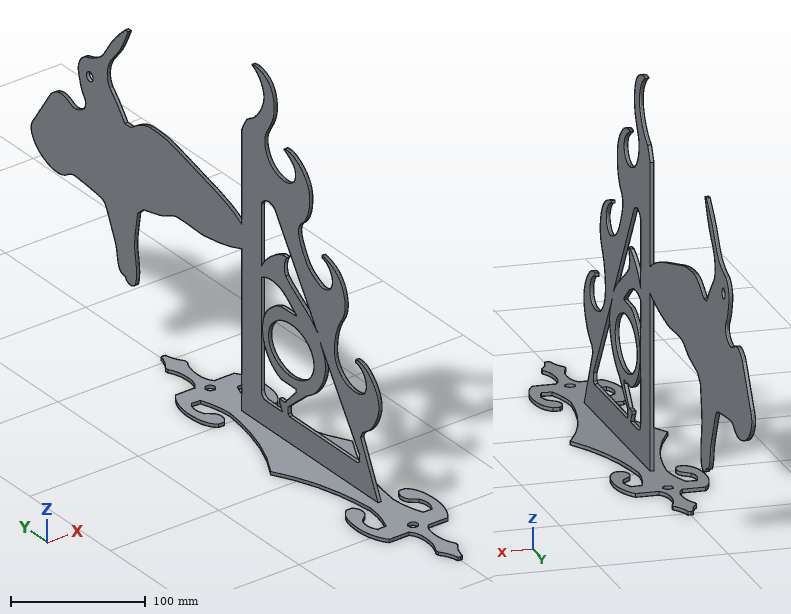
import cadquery as cq

sheet = 3.0
hole_diameter = 8.0
hole_radius = hole_diameter / 2

plate_half_width = 38.0
plate_half_length = 185.0
plate_hole_y = 126.0
shoulder_y = 133.0

overall_length = 532.0
bracket_top = 306.0
nose_y = overall_length - plate_half_length
post_back = 85.0
post_front = 60.5
rail_top = 25.5
foot_tip = -84.5
tail_top = 163.0
tail_bottom = 141.5
eye_center = (274.0, 201.0)

scroll_eye_center = (23.5, 83.0)
scroll_eye_half_length = 28.0
scroll_eye_half_height = 22.5


def closed_wire(workplane, runs):
    """Join runs of points end to end: two points make a line, three an arc, more a smooth curve."""
    sketch = workplane.moveTo(*runs[0][0])
    for run in runs:
        if len(run) == 2:
            sketch = sketch.lineTo(*run[1])
        elif len(run) == 3:
            sketch = sketch.threePointArc(run[1], run[2])
        else:
            sketch = sketch.spline(run[1:], includeCurrent=True)
    return sketch.close()


def upright(runs):
    """Sheet of the given (Y, Z) outline, centred on the plane X = 0."""
    return closed_wire(cq.Workplane("YZ"), runs).extrude(sheet / 2, both=True)




def plate_quarter():
    """Quarter of the plate on the +X, +Y side."""
    waist = (10.5, 87.0)
    runs = [
        [(0, 0), (plate_half_width, 0)],
        [(plate_half_width, 0), (27.0, 20.0), (20.0, 38.5), (14.5, 61.0), waist],
        [waist, (12.0, 100.0), (17.0, 115.5)],
        [(3.2, 21.7), (25.0, 116.0)],
        [(4.7, 21.8), (28.0, 106.5), (26.0, 98.5)],
        [(4.9, 18.5), (20.0, 93.5)],
        [(3.8, 17.6), (18.0, 86.0), (22.0, 79.5)],
        [(4.1, 14.9), (27.0, 79.5)],
        [(5.1, 14.9), (33.0, 87.0), (35.5, 100.0), (35.5, 110.5), (33.0, 122.5), (27.0, shoulder_y)],
        [(5.1, shoulder_y), (9.0, shoulder_y)],
        [(1.7, shoulder_y), (6.0, 138.0), (4.0, 148.0), (6.0, 159.5), (9.0, 166.5)],
        [(1.7, 31.3), (9.0, 169.5)],
        [(1.7, 31.9), (5.5, 175.0), (2.0, 184.5)],
        [(0.4, 34.7), (0, plate_half_length)],
    ]
    return closed_wire(cq.Workplane("XY"), runs).extrude(sheet)


def build_plate():
    quarter = plate_quarter()
    half = quarter.union(quarter.mirror("YZ"))
    plate = half.union(half.mirror("XZ"))
    hole_places = [(0, -plate_hole_y), (0, plate_hole_y)]
    holes = cq.Workplane("XY").pushPoints(hole_places).circle(hole_radius).extrude(sheet)
    return plate.cut(holes)




def fish_runs():
    """Outline of the fish, from the underside of its tail round to the upper side of the tail."""
    fin_root = (214.5, 111.5)
    crest_tip = (226.0, 262.0)
    return [
        [(post_back, tail_bottom), (96.0, 138.0), (117.0, 133.0), (135.5, 131.0), (149.0, 131.5), (163.0, 131.5)],
        [(30.6, 24.7), (172.5, 129.5), (181.0, 125.0), (191.5, 122.0), (207.5, 118.0)],
        [(39.0, 22.2), fin_root],
        [fin_root, (216.5, 98.5), (218.0, 81.0), (216.5, 69.0), (217.0, 49.5)],
        [(40.8, 9.3), (224.0, 46.5), (230.0, 50.5)],
        [(43.2, 9.5), (235.0, 51.5)],
        [(44.2, 9.7), (238.5, 57.0), (240.5, 68.0), (245.0, 80.0), (251.0, 93.5), (255.5, 101.5), (260.0, 104.5)],
        [(48.9, 19.6), (276.5, 106.5), (287.5, 107.5), (297.0, 107.0), (304.5, 102.5), (316.5, 100.5), (330.5, 104.5),
         (341.0, 111.5), (nose_y, 123.0), (343.5, 132.0)],
        [(64.6, 24.8), (323.0, 163.5)],
        [(60.7, 30.7), (317.0, 168.0), (308.5, 170.0), (300.5, 168.0), (293.5, 165.5), (286.0, 167.0), (280.5, 172.0),
         (279.5, 177.0), (282.5, 183.0), (287.5, 196.0), (288.5, 202.0), (287.0, 208.5), (279.0, 216.0)],
        [(52.4, 40.6), (269.0, 219.0), (258.0, 227.0), (251.0, 237.5), (239.5, 252.0), (230.0, 262.0)],
        [(43.2, 49.2), crest_tip],
        [crest_tip, (230.5, 252.0), (239.5, 237.5), (249.0, 225.0), (252.0, 214.5), (249.0, 203.0)],
        [(46.8, 38.2), (239.5, 193.0), (230.5, 181.5)],
        [(43.3, 34.1), (223.0, 181.5)],
        [(41.9, 34.1), (215.0, 187.0), (202.0, 192.0), (190.5, 192.5), (178.0, 191.5), (154.5, 185.5), (127.5, 179.0),
         (101.0, 171.0), (post_back, tail_top)],
    ]


def flame_runs():
    """Outline of the four flames, from the top of the post down to the foot."""
    post_top = (post_back, 243.5)
    return [
        [(post_back, tail_top), post_top],
        [post_top, (82.0, 250.0), (79.0, 255.5)],
        [(14.8, 48.0), (67.5, 263.5), (60.0, 274.0), (57.5, 284.0), (59.5, 292.5), (65.0, 300.0), (72.5, 305.5)],
        [(13.6, 57.4), (69.0, bracket_top)],
        [(13.0, bracket_top), (59.5, 304.5), (50.0, 298.0), (45.0, 287.5), (45.0, 274.0), (50.5, 262.0), (56.0, 251.0),
         (55.0, 239.5), (47.5, 229.5), (35.5, 224.5), (26.0, 225.0), (19.0, 231.0), (19.0, 240.5), (26.0, 247.5), (32.5, 251.0)],
        [(6.1, 47.2), (31.5, 252.0)],
        [(5.9, 47.4), (21.0, 250.5), (9.5, 243.0), (2.0, 232.5), (0.5, 220.0), (3.0, 207.5), (11.5, 197.0)],
        [(2.2, 37.0), (14.5, 190.0), (11.5, 180.0), (7.0, 171.0), (0.0, 162.5), (-8.0, 157.5), (-16.0, 155.0),
         (-23.5, 157.0), (-27.5, 164.0), (-26.0, 172.0), (-15.0, 180.5)],
        [(-2.8, 33.9), (-15.0, 182.5)],
        [(-2.8, 34.3), (-25.0, 180.0), (-35.5, 173.0), (-42.0, 162.0), (-43.5, 151.5), (-41.5, 142.0), (-36.0, 133.0),
         (-32.0, 122.0), (-30.5, 111.5), (-31.5, 101.0), (-38.5, 91.0), (-46.5, 86.0), (-56.5, 84.5), (-66.0, 87.0),
         (-69.5, 93.0), (-67.5, 103.0), (-56.5, 110.0)],
        [(-10.6, 20.7), (-57.0, 113.0)],
        [(-10.7, 21.2), (-66.0, 111.5), (-75.0, 106.0), (-82.5, 96.5), (-85.5, 85.0), (-83.0, 73.5),
         (-75.5, 61.5), (-65.5, 54.5)],
        [(-12.3, 10.2), (-63.0, 49.0)],
        [(-11.8, 9.2), (foot_tip, sheet)],
        [(foot_tip, sheet), (post_back, sheet)],
    ]


def upper_window():
    """Opening between the post, the slope and the leaf above the scroll."""
    slope_start = (43.5, 194.0)
    wedge_tip = (-9.0, 114.0)
    leaf_tip = (28.5, 160.0)
    return upright([
        [(post_front, 138.5), (post_front, 191.5)],
        [(post_front, 36.0), (52.0, 197.5), slope_start],
        [slope_start, wedge_tip],
        [wedge_tip, (0.0, 122.5), (16.0, 133.0), (30.5, 143.5)],
        [(5.7, 27.0), (32.0, 152.0), leaf_tip],
        [leaf_tip, (34.0, 160.0)],
        [(6.4, 30.1), (46.5, 154.0), (post_front, 138.5)],
    ])


def left_window():
    """Opening between the post and the scroll, narrowest where the ring nearly meets the post."""
    leaf_root = (17.5, 116.5)
    stem_root = (17.5, 50.0)
    return upright([
        [(post_front, 32.0), (post_front, 128.0)],
        [(post_front, 24.1), (49.5, 132.0), (34.0, 129.0), (25.5, 123.0), leaf_root],
        [leaf_root, (17.5, 115.5)],
        [(3.3, 21.7), (35.5, 115.0)],
        [(6.7, 21.6), (47.0, 109.5), (56.0, 99.5), (59.0, 85.0), (56.0, 71.0), (47.5, 59.5), (35.5, 52.5)],
        [(6.7, 9.9), (17.5, 52.5)],
        [(3.3, 9.9), stem_root],
        [stem_root, (31.5, 35.0)],
        [(5.9, 6.6), (38.5, 35.0)],
        [(7.2, 6.6), (38.5, 32.5)],
        [(7.2, 6.1), (34.5, rail_top)],
        [(6.5, rail_top), (55.0, rail_top)],
        [(10.3, rail_top), (59.0, 27.5), (post_front, 32.0)],
    ])


def right_window():
    """Opening between the scroll, the foot rail and the slope."""
    wedge_tip = (-13.0, 106.5)
    stem_side = (5.0, 52.5)
    return upright([
        [wedge_tip, (-17.0, 98.5)],
        [(-3.2, 18.5), (-19.0, 88.5), (-16.5, 75.5), (-8.5, 63.0), stem_side],
        [stem_side, (25.0, 35.0)],
        [(4.7, 6.6), (27.0, 33.0)],
        [(5.1, 6.2), (27.0, 27.0)],
        [(5.1, 5.1), (25.5, rail_top)],
        [(4.8, rail_top), (-59.0, rail_top)],
        [(-11.1, rail_top), (-61.0, 27.0)],
        [(-11.5, 5.1), (-61.0, 33.5)],
        [(-11.5, 6.3), wedge_tip],
    ])


def scroll_eye():
    eye = cq.Workplane("YZ").center(*scroll_eye_center)
    return eye.ellipse(scroll_eye_half_length, scroll_eye_half_height).extrude(sheet / 2, both=True)


def fish_eye():
    return cq.Workplane("YZ").center(*eye_center).circle(hole_radius).extrude(sheet / 2, both=True)


def build_bracket():
    bracket = upright([[(post_back, sheet), (post_back, tail_bottom)]] + fish_runs() + flame_runs())
    for opening in (upper_window(), left_window(), right_window(), scroll_eye(), fish_eye()):
        bracket = bracket.cut(opening)
    return bracket


plate = build_plate()
bracket = build_bracket()

result = cq.Compound.makeCompound([plate.val(), bracket.val()])